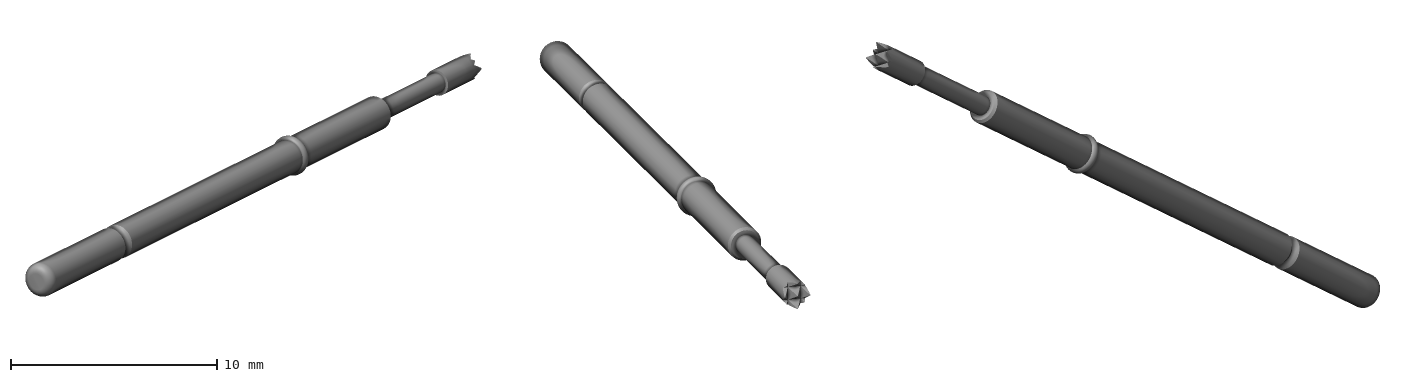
import cadquery as cq

total_length = 38.7

head_radius = 0.65
head_length = 3.0
shaft_radius = 0.5
shaft_length = 5.3

barrel_radius = 0.85
barrel_mouth_chamfer = 0.12
rear_end_rounding = 0.42
barrel_length = total_length - head_length - shaft_length

collar_radius = 1.0
collar_width = 0.44
collar_centre_y = total_length - 16.06

groove_width = 0.6
groove_floor_width = 0.06
groove_depth = 0.24
groove_centre_y = 6.9

crown_groove_pitch = 0.64
crown_groove_width = 0.6
crown_groove_depth = 0.55


def rod(radius, start_y, length):
    """Cylinder on the Y axis reaching from start_y towards +Y."""
    plane = cq.Plane(origin=(0, start_y, 0), xDir=(1, 0, 0), normal=(0, 1, 0))
    return cq.Workplane(plane).circle(radius).extrude(length)


def make_barrel():
    barrel = rod(barrel_radius, 0, barrel_length)
    barrel = barrel.faces("<Y").edges().fillet(rear_end_rounding)
    return barrel.faces(">Y").edges().chamfer(barrel_mouth_chamfer)


def make_collar():
    """Ring with a rounded outer face, bulging from the barrel and buried in it."""
    half_width = collar_width / 2
    return (
        cq.Workplane("XY")
        .moveTo(shaft_radius, collar_centre_y - half_width)
        .lineTo(barrel_radius, collar_centre_y - half_width)
        .threePointArc((collar_radius, collar_centre_y), (barrel_radius, collar_centre_y + half_width))
        .lineTo(shaft_radius, collar_centre_y + half_width)
        .close()
        .revolve(360, (0, 0, 0), (0, 1, 0))
    )


def make_crimp_groove():
    """Ring-shaped cutter with a trapezoidal section."""
    half_width = groove_width / 2
    half_floor = groove_floor_width / 2
    floor_radius = barrel_radius - groove_depth
    return (
        cq.Workplane("XY")
        .moveTo(barrel_radius, groove_centre_y - half_width)
        .lineTo(floor_radius, groove_centre_y - half_floor)
        .lineTo(floor_radius, groove_centre_y + half_floor)
        .lineTo(barrel_radius, groove_centre_y + half_width)
        .close()
        .revolve(360, (0, 0, 0), (0, 1, 0))
    )


def make_plunger():
    shaft = rod(shaft_radius, barrel_length, shaft_length)
    head = rod(head_radius, total_length - head_length, head_length)
    return shaft.union(head)


def make_crown_groove(offset):
    """V groove running along Z across the tip, centred at x = offset."""
    half_width = crown_groove_width / 2
    return (
        cq.Workplane("XY")
        .moveTo(offset - half_width, total_length)
        .lineTo(offset, total_length - crown_groove_depth)
        .lineTo(offset + half_width, total_length)
        .close()
        .extrude(head_radius, both=True)
    )


def cut_crown(plunger):
    for offset in (-crown_groove_pitch / 2, crown_groove_pitch / 2):
        groove = make_crown_groove(offset)
        crossing_groove = groove.rotate((0, 0, 0), (0, 1, 0), 90)
        plunger = plunger.cut(groove).cut(crossing_groove)
    return plunger


barrel = make_barrel().union(make_collar()).cut(make_crimp_groove())
result = barrel.union(cut_crown(make_plunger()))